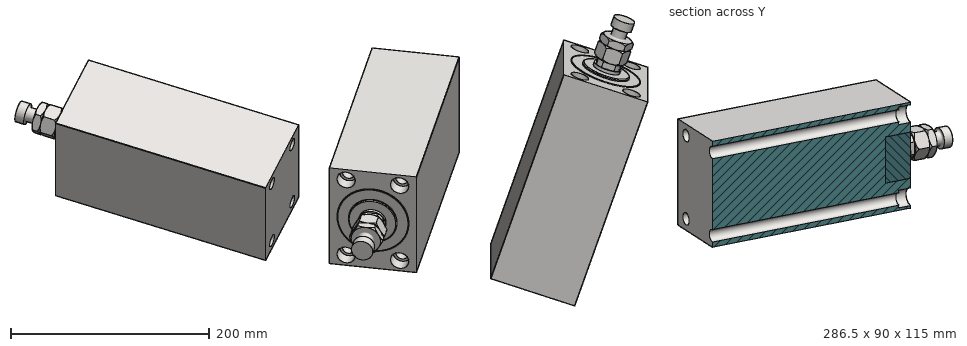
import cadquery as cq
import math


OVERALL_LENGTH = 286.5
ROD_REACH = 58.0
BLOCK_LENGTH = OVERALL_LENGTH - ROD_REACH
BLOCK_WIDTH = 90.0
BLOCK_HEIGHT = 115.0
EDGE_CHAMFER = 0.5

BOLT_SPACING_Y = 55.0
BOLT_SPACING_Z = 90.0
BOLT_HOLE_DIAMETER = 13.0
COUNTERBORE_DIAMETER = 18.5
COUNTERBORE_DEPTH = 13.5

GLAND_DIAMETER = 74.0
GLAND_DEPTH = 28.6
GLAND_CHAMFER = 1.0
COLLAR_DIAMETER = 49.9
COLLAR_HEIGHT = 2.3
COLLAR_CHAMFER = 1.0

ROD_DIAMETER = 28.5
ROD_SHOULDER = 5.7
SPANNER_DIAMETER = 27.5
SPANNER_FLATS = 24.0
SPANNER_LENGTH = 7.2

HEAD_DIAMETER = 22.0
HEAD_LENGTH = 9.7
NECK_DIAMETER = 15.2
NECK_LENGTH = 10.5
NECK_FILLET = 1.5
HEX_FLATS = 30.0
THIN_HEX_LENGTH = 8.5
HEX_CHAMFER_LENGTH = 1.7
REAR_CHAMFER_LENGTH = 2.3

SPANNER_START = -(ROD_SHOULDER + SPANNER_LENGTH)
THIN_HEX_START = -ROD_REACH + HEAD_LENGTH + NECK_LENGTH
THICK_HEX_START = THIN_HEX_START + THIN_HEX_LENGTH
THICK_HEX_LENGTH = SPANNER_START - THICK_HEX_START


def section_at(x):
    """Workplane across the rod at station x, facing +X."""
    return cq.Workplane("YZ", origin=(x, 0, 0))


def cylinder(x, diameter, length):
    return section_at(x).circle(diameter / 2).extrude(length)


def make_housing():
    block = section_at(0).rect(BLOCK_WIDTH, BLOCK_HEIGHT).extrude(BLOCK_LENGTH)
    block = block.edges("|X").chamfer(EDGE_CHAMFER)
    bolt_pattern = section_at(0).rect(BOLT_SPACING_Y, BOLT_SPACING_Z, forConstruction=True).vertices()
    bolt_holes = bolt_pattern.circle(BOLT_HOLE_DIAMETER / 2).extrude(BLOCK_LENGTH)
    counterbores = bolt_pattern.circle(COUNTERBORE_DIAMETER / 2).extrude(COUNTERBORE_DEPTH)
    gland_recess = cylinder(0, GLAND_DIAMETER, GLAND_DEPTH)
    return block.cut(bolt_holes).cut(counterbores).cut(gland_recess)


def make_gland():
    plug = cylinder(0, GLAND_DIAMETER, GLAND_DEPTH).faces("<X").chamfer(GLAND_CHAMFER)
    collar = cylinder(-COLLAR_HEIGHT, COLLAR_DIAMETER, COLLAR_HEIGHT).faces("<X").chamfer(COLLAR_CHAMFER)
    rod_bore = cylinder(-COLLAR_HEIGHT, ROD_DIAMETER, COLLAR_HEIGHT + GLAND_DEPTH)
    return plug.union(collar).cut(rod_bore)


def make_rod():
    """Round rod ending at the back of the gland, with four spanner flats at its front."""
    shaft = cylinder(-ROD_SHOULDER, ROD_DIAMETER, ROD_SHOULDER + GLAND_DEPTH)
    square = section_at(SPANNER_START).rect(SPANNER_FLATS, SPANNER_FLATS).extrude(SPANNER_LENGTH)
    spanner_section = cylinder(SPANNER_START, SPANNER_DIAMETER, SPANNER_LENGTH).intersect(square)
    return shaft.union(spanner_section)


def make_hex(x, length, front_chamfer, rear_chamfer):
    """Hexagon whose corners are turned down at both ends to a circle touching the flats."""
    corner_diameter = HEX_FLATS / math.cos(math.pi / 6)
    flat_radius = HEX_FLATS / 2
    corner_radius = corner_diameter / 2
    prism = section_at(x).polygon(6, corner_diameter).extrude(length)
    turned_outline = [
        (x, 0),
        (x, flat_radius),
        (x + front_chamfer, corner_radius),
        (x + length - rear_chamfer, corner_radius),
        (x + length, flat_radius),
        (x + length, 0),
    ]
    turned = cq.Workplane("XY").polyline(turned_outline).close().revolve(360, (0, 0, 0), (1, 0, 0))
    return prism.intersect(turned)


def make_neck():
    """Neck between head and hexagon, flaring into both with a concave fillet."""
    front = -ROD_REACH + HEAD_LENGTH
    rear = THIN_HEX_START
    radius = NECK_DIAMETER / 2
    outline = (
        cq.Workplane("XY")
        .moveTo(front, 0)
        .lineTo(front, radius + NECK_FILLET)
        .radiusArc((front + NECK_FILLET, radius), -NECK_FILLET)
        .lineTo(rear - NECK_FILLET, radius)
        .radiusArc((rear, radius + NECK_FILLET), -NECK_FILLET)
        .lineTo(rear, 0)
        .close()
    )
    return outline.revolve(360, (0, 0, 0), (1, 0, 0))


def make_coupling():
    head = cylinder(-ROD_REACH, HEAD_DIAMETER, HEAD_LENGTH)
    thin_hex = make_hex(THIN_HEX_START, THIN_HEX_LENGTH, HEX_CHAMFER_LENGTH, HEX_CHAMFER_LENGTH)
    thick_hex = make_hex(THICK_HEX_START, THICK_HEX_LENGTH, HEX_CHAMFER_LENGTH, REAR_CHAMFER_LENGTH)
    return head.union(make_neck()).union(thin_hex).union(thick_hex)


housing = make_housing()
gland = make_gland()
rod = make_rod()
coupling = make_coupling()

result = cq.Compound.makeCompound([housing.val(), gland.val(), rod.val(), coupling.val()])